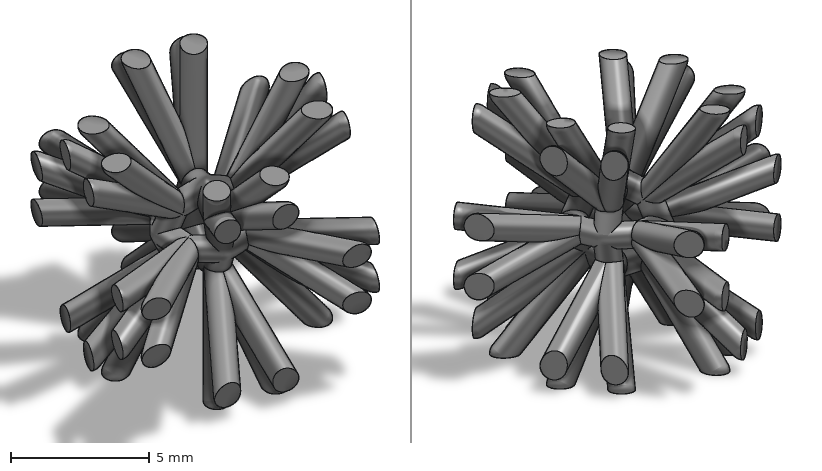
import cadquery as cq
import math

cube_side = 10.0
rod_diameter = 1.0
ring_radius = 1.62
tip_far_offset = 3.97
ring_sides = 8

half_side = cube_side / 2
rod_radius = rod_diameter / 2
diagonal_offset = ring_radius / math.sqrt(2)
tip_near_offset = diagonal_offset


def rod(start, end):
    """Round rod between two points."""
    axis = cq.Vector(*end) - cq.Vector(*start)
    return cq.Solid.makeCylinder(rod_radius, axis.Length, cq.Vector(*start), axis)


def ball(center):
    """Ball of the rod diameter that rounds off a joint or a rod tip."""
    return cq.Workplane("XY").sphere(rod_radius).translate(center).val()


def ring_point(ring_axis, u, v, height):
    """Point at (u, v) in the ring's plane, raised along the ring's axis (0, 1, 2 for X, Y, Z)."""
    coordinates = [0.0, 0.0, 0.0]
    coordinates[ring_axis] = height
    coordinates[(ring_axis + 1) % 3] = u
    coordinates[(ring_axis + 2) % 3] = v
    return tuple(coordinates)


def octagonal_ring(ring_axis):
    """Rods around a regular octagon, with a ball at every corner."""
    corners = []
    for index in range(ring_sides):
        angle = 2 * math.pi * index / ring_sides
        u = ring_radius * math.cos(angle)
        v = ring_radius * math.sin(angle)
        corners.append(ring_point(ring_axis, u, v, 0))

    pieces = []
    for index, corner in enumerate(corners):
        next_corner = corners[(index + 1) % ring_sides]
        pieces.append(rod(corner, next_corner))
        pieces.append(ball(corner))
    return pieces


def spread_rods(ring_axis, u_sign, v_sign):
    """Four rods from one diagonal corner of a ring, two to each of the nearest cube faces."""
    joint = ring_point(ring_axis, u_sign * diagonal_offset, v_sign * diagonal_offset, 0)
    pieces = []
    for u, v in ((half_side, tip_far_offset), (tip_far_offset, half_side)):
        for height in (-tip_near_offset, tip_near_offset):
            tip = ring_point(ring_axis, u_sign * u, v_sign * v, height)
            pieces.append(rod(joint, tip))
            pieces.append(ball(tip))
    return pieces


lattice_pieces = []
for ring_axis in range(3):
    lattice_pieces += octagonal_ring(ring_axis)
    for u_sign in (-1, 1):
        for v_sign in (-1, 1):
            lattice_pieces += spread_rods(ring_axis, u_sign, v_sign)

lattice = cq.Workplane(lattice_pieces[0].fuse(*lattice_pieces[1:]))

cube = cq.Workplane("XY").box(cube_side, cube_side, cube_side)
result = lattice.intersect(cube)